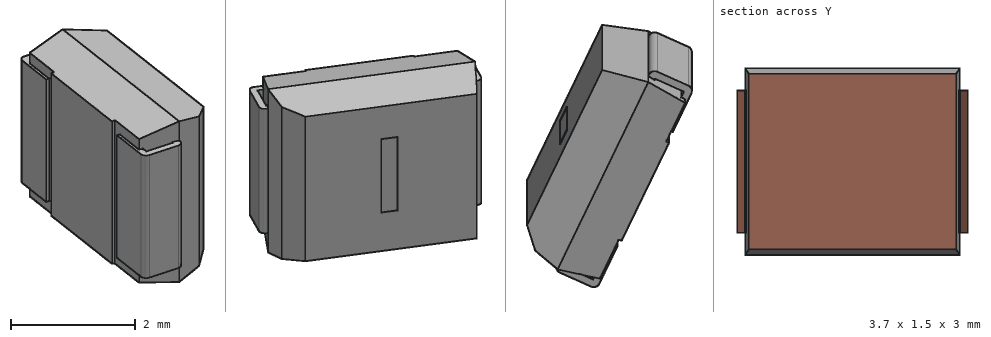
import cadquery as cq


overall_x = 3.7
overall_y = 1.5
overall_z = 3.0

parting_y = 0.75
back_y = 1.487
parting_half_x = 1.725
parting_half_z = overall_z / 2
front_half_x = 1.61
back_half_x = 1.55
end_half_z = 1.33
bevel_y = 1.2
bevel_back_x = 1.305
pad_half_x = 0.903
pad_step = 0.05

lead_half_x = overall_x / 2
lead_half_z = 1.145
lead_thickness = 0.122
lead_bend_radius = 0.1
foot_end_x = 1.045

mark_left_x = -0.225
mark_right_x = 0.045
mark_bottom_z = -0.615
mark_top_z = 0.733
mark_thickness = overall_y - back_y


def box(x_range, y_range, z_range):
    """Box spanning the given ranges along X, Y and Z."""
    size = [end - start for start, end in (x_range, y_range, z_range)]
    return cq.Workplane("XY").box(*size, centered=False).translate((x_range[0], y_range[0], z_range[0]))


def make_tapered_block():
    """Block tapering from the parting line to both faces, with one bevelled back edge."""
    back_taper = (parting_half_x - back_half_x) / (back_y - parting_y)
    bevel_side_x = parting_half_x - back_taper * (bevel_y - parting_y)
    across = (
        cq.Workplane("XY")
        .polyline([
            (-front_half_x, 0),
            (front_half_x, 0),
            (parting_half_x, parting_y),
            (bevel_side_x, bevel_y),
            (bevel_back_x, back_y),
            (-back_half_x, back_y),
            (-parting_half_x, parting_y),
        ])
        .close()
        .extrude(parting_half_z, both=True)
    )
    along = (
        cq.Workplane("YZ")
        .polyline([
            (0, -end_half_z),
            (parting_y, -parting_half_z),
            (back_y, -end_half_z),
            (back_y, end_half_z),
            (parting_y, parting_half_z),
            (0, end_half_z),
        ])
        .close()
        .extrude(parting_half_x, both=True)
    )
    return across.intersect(along)


def make_housing():
    """Tapered block with a raised central pad and a recess for each lead foot."""
    housing = make_tapered_block()
    z_full = (-parting_half_z, parting_half_z)
    z_lead = (-lead_half_z, lead_half_z)
    side_step = box((pad_half_x, lead_half_x), (0, pad_step), z_full)
    foot_recess = box((foot_end_x, lead_half_x), (0, lead_thickness), z_lead)
    for cutter in (side_step, foot_recess):
        housing = housing.cut(cutter).cut(cutter.mirror("YZ"))
    return housing


def make_lead(side, housing):
    """C-shaped lead on side -1 or +1, its upper leg ending against the housing wall."""
    inner_x = lead_half_x - lead_thickness
    z_lead = (-lead_half_z, lead_half_z)
    wall = box((inner_x, lead_half_x), (0, parting_y), z_lead).edges(">X and |Z").fillet(lead_bend_radius)
    foot = box((foot_end_x, inner_x), (0, lead_thickness), z_lead)
    upper_leg = box((front_half_x, inner_x), (parting_y - lead_thickness, parting_y), z_lead)
    lead = wall.union(foot).union(upper_leg)
    if side < 0:
        lead = lead.mirror("YZ")
    return lead.cut(housing)


def make_mark():
    """Thin bar standing on the back face."""
    return box(
        (mark_left_x, mark_right_x),
        (back_y, back_y + mark_thickness),
        (mark_bottom_z, mark_top_z),
    )


housing = make_housing()
leads = [make_lead(side, housing) for side in (-1, 1)]
mark = make_mark()

result = cq.Compound.makeCompound([
    housing.solids().val(),
    *[lead.solids().val() for lead in leads],
    mark.val(),
])